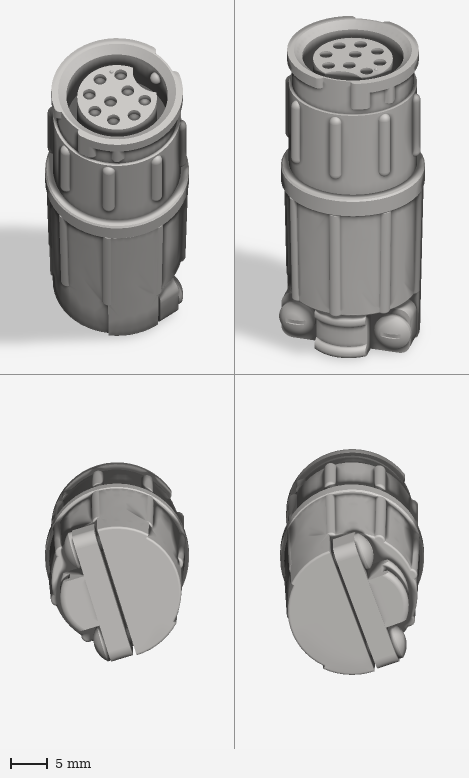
import cadquery as cq
import math

HEIGHT = 44.75
SHELL_BOTTOM = 0.6
STEP_Z = 7.8
RING_BOTTOM = 24.0
RING_TOP = 26.75
COLLAR_BOTTOM = 27.0
COLLAR_TOP = 39.55
LUG_BOTTOM = 40.65
FLANGE_BOTTOM = 43.15

NECK_RADIUS = 8.28
FLANGE_RADIUS = 8.95
COLLAR_RADIUS = 8.7
GROOVE_RADIUS = 7.75
RING_RADIUS = 9.775
RING_CHAMFER = 0.22

MOUTH_RADIUS = 8.0
BORE_RADIUS = 6.9
MOUTH_DEPTH = 0.95
BORE_DEPTH = 6.7
INSERT_RADIUS = 5.4
INSERT_TOP = HEIGHT - 1.35
NOTCH_RADIUS = 3.6
NOTCH_Y = 7.2
CONTACT_RADIUS = 0.87
CONTACT_DEPTH = 0.9
CONTACT_CIRCLE_RADIUS = 3.8
CONTACT_PLACES = 8
INNER_CONTACTS_Y = (1.85, -1.1)
MARK_RADIUS = 0.25
MARK_X = -3.85
MARK_Y = 2.0
PIN_RADIUS = 0.828
PIN_Y = 6.7
PIN_Z = 42.23

GAP_HALF_WIDTH = 1.85
LUG_OUTER_X = 4.47
LUG_ROUND = 0.785
KEY_X = 7.15
KEY_Y = 5.7
KEY_ROUND = 0.6

RIB_COUNT = 8
COLLAR_RIB_RADIUS = 0.85
COLLAR_RIB_TIP = 9.5
COLLAR_RIB_BOTTOM = 29.4
COLLAR_RIB_TOP = 39.2
SHELL_RIB_RADIUS = 0.9
SHELL_RIB_TIP_TOP = 9.7
SHELL_RIB_TIP_BOTTOM = 9.35
SHELL_RIB_ROUND = 0.3

SHELL_RADIUS_TOP = 9.2
SHELL_RADIUS_BOTTOM = 8.7
FLANK_RISE = 0.4
SHELL_EDGE_ROUND = 0.3

CLAMP_HEIGHT = 6.9
CLAMP_Z = CLAMP_HEIGHT / 2
BAR_HALF_LENGTH = 9.1
BAR_NEAR_Y = 0.5
BAR_FAR_Y = 3.6
BAR_ROUND = 1.6
SADDLE_HALF_LENGTH = 3.6
SADDLE_HEIGHT = 6.58
SADDLE_AXIS_Y = 2.1
SADDLE_RADIUS = 4.95
RIM_RADIUS = 5.73
RIM_WIDTH = 1.7
RIM_ROUND = 0.8
SCREW_X = 6.7
SHANK_RADIUS = 1.1
SHANK_DEPTH = 0.5
HEAD_RADIUS = 2.55
HEAD_HEIGHT = 1.7
HEAD_SIDE = 0.55
SLOT_WIDTH = 0.65
SLOT_DEPTH = 0.3
HEAD_SPAN = (-2 * HEAD_RADIUS, 2 * HEAD_RADIUS)


def disc(radius, bottom, top):
    return cq.Workplane("XY").workplane(offset=bottom).circle(radius).extrude(top - bottom)


def box(x_range, y_range, z_range):
    (x0, x1), (y0, y1), (z0, z1) = x_range, y_range, z_range
    return cq.Workplane("XY").box(x1 - x0, y1 - y0, z1 - z0, centered=False).translate((x0, y0, z0))


def ball(radius, center):
    return cq.Workplane("XY").sphere(radius).translate(center)


def half_turn(shape):
    return shape.rotate((0, 0, 0), (0, 0, 1), 180)


def around_axis(shape):
    copies = cq.Workplane("XY")
    for index in range(RIB_COUNT):
        copies = copies.union(shape.rotate((0, 0, 0), (0, 0, 1), index * 360 / RIB_COUNT))
    return copies


def flange_half():
    """Half of the bayonet flange on +X, ending at the gaps with rounded corners."""
    side = (GAP_HALF_WIDTH, FLANGE_RADIUS)
    half = disc(FLANGE_RADIUS, FLANGE_BOTTOM, HEIGHT).intersect(
        box(side, (-FLANGE_RADIUS, FLANGE_RADIUS), (FLANGE_BOTTOM, HEIGHT))
    )
    return half.edges("|Z").fillet(LUG_ROUND)


def end_lug():
    """Lug hanging below the flange beside the gap on -Y."""
    heights = (LUG_BOTTOM, FLANGE_BOTTOM)
    lug = disc(FLANGE_RADIUS, *heights).intersect(
        box((GAP_HALF_WIDTH, LUG_OUTER_X), (-FLANGE_RADIUS, -BORE_RADIUS), heights)
    )
    return lug.edges("|Z").edges("not >Y").fillet(LUG_ROUND)


def corner_key():
    """Square key with a rounded outer corner, below the flange."""
    key = box((KEY_X / 2, KEY_X), (-KEY_Y, -KEY_Y / 2), (LUG_BOTTOM, FLANGE_BOTTOM))
    return key.edges("|Z and >X and <Y").fillet(KEY_ROUND)


def bayonet():
    side = flange_half().union(end_lug()).union(corner_key())
    neck = disc(NECK_RADIUS, COLLAR_TOP, HEIGHT)
    return neck.union(side).union(half_turn(side))


def socket_cut():
    """Conical mouth and bore around the notched contact insert."""
    floor = HEIGHT - BORE_DEPTH
    cut = (
        cq.Workplane("XZ")
        .moveTo(0, HEIGHT)
        .lineTo(MOUTH_RADIUS, HEIGHT)
        .lineTo(BORE_RADIUS, HEIGHT - MOUTH_DEPTH)
        .lineTo(BORE_RADIUS, floor)
        .lineTo(0, floor)
        .close()
        .revolve(360, (0, 0), (0, 1))
    )
    return cut.cut(contact_insert(floor)).cut(ball(PIN_RADIUS, (0, PIN_Y, PIN_Z)))


def contact_insert(floor):
    insert = disc(INSERT_RADIUS, floor, INSERT_TOP)
    insert = insert.cut(disc(NOTCH_RADIUS, floor, INSERT_TOP).translate((0, NOTCH_Y, 0)))
    centers = [(0, y) for y in INNER_CONTACTS_Y]
    for index in range(1, CONTACT_PLACES):
        angle = math.radians(90 + index * 360 / CONTACT_PLACES)
        centers.append((CONTACT_CIRCLE_RADIUS * math.cos(angle), CONTACT_CIRCLE_RADIUS * math.sin(angle)))
    for x, y in centers:
        insert = insert.cut(disc(CONTACT_RADIUS, INSERT_TOP - CONTACT_DEPTH, INSERT_TOP).translate((x, y, 0)))
    return insert.union(ball(MARK_RADIUS, (MARK_X, MARK_Y, INSERT_TOP)))


def collar():
    rib_x = COLLAR_RIB_TIP - COLLAR_RIB_RADIUS
    low = COLLAR_RIB_BOTTOM + COLLAR_RIB_RADIUS
    high = COLLAR_RIB_TOP - COLLAR_RIB_RADIUS
    rib = disc(COLLAR_RIB_RADIUS, low, high).translate((rib_x, 0, 0))
    for z in (low, high):
        rib = rib.union(ball(COLLAR_RIB_RADIUS, (rib_x, 0, z)))
    return disc(COLLAR_RADIUS, COLLAR_BOTTOM, COLLAR_TOP).union(around_axis(rib))


def ring():
    body = disc(RING_RADIUS, RING_BOTTOM, RING_TOP).edges().chamfer(RING_CHAMFER)
    return body.union(disc(GROOVE_RADIUS, RING_TOP, COLLAR_BOTTOM))


def shell_radius(z):
    climb = (z - SHELL_BOTTOM) / (RING_BOTTOM - SHELL_BOTTOM)
    return SHELL_RADIUS_BOTTOM + climb * (SHELL_RADIUS_TOP - SHELL_RADIUS_BOTTOM)


def tapered_body(bottom, rise=0.0):
    """Full round of the shell from the given height up, with its lower edge rounded."""
    return (
        cq.Workplane("XZ")
        .moveTo(0, bottom)
        .lineTo(shell_radius(bottom) + rise, bottom)
        .lineTo(SHELL_RADIUS_TOP + rise, RING_BOTTOM)
        .lineTo(0, RING_BOTTOM)
        .close()
        .revolve(360, (0, 0), (0, 1))
        .faces("<Z")
        .edges()
        .fillet(SHELL_EDGE_ROUND)
    )


def shell_rib():
    bottom = cq.Vector(SHELL_RIB_TIP_BOTTOM - SHELL_RIB_RADIUS, 0, STEP_Z)
    top = cq.Vector(SHELL_RIB_TIP_TOP - SHELL_RIB_RADIUS, 0, RING_BOTTOM)
    axis = top - bottom
    rib = cq.Workplane(cq.Solid.makeCylinder(SHELL_RIB_RADIUS, axis.Length, bottom, axis))
    return rib.faces("<Z").edges().fillet(SHELL_RIB_ROUND)


def shell():
    """Tapered cable shell with grip ribs; its +Y half stops at the step."""
    reach = RING_RADIUS
    sector = (
        cq.Workplane("XY")
        .polyline([(0, 0), (2 * reach, 0), (2 * reach, -2 * reach)])
        .close()
        .extrude(HEIGHT)
    )
    flank = tapered_body(SHELL_BOTTOM, FLANK_RISE).intersect(sector)
    long_half = tapered_body(SHELL_BOTTOM).cut(box((-reach, reach), (0, reach), (0, HEIGHT)))
    short_half = tapered_body(STEP_Z).cut(box((-reach, reach), (-reach, 0), (0, HEIGHT)))
    body = long_half.union(flank).union(flank.mirror("YZ"))
    return body.union(around_axis(shell_rib())).union(short_half)


def screw():
    """Domed, slotted clamp screw along Y."""
    head_tip = BAR_FAR_Y + HEAD_HEIGHT
    dome_rise = HEAD_HEIGHT - HEAD_SIDE
    dome_radius = (HEAD_RADIUS**2 + dome_rise**2) / (2 * dome_rise)
    middle_radius = math.sqrt(dome_radius**2 - (dome_radius - dome_rise / 2) ** 2)
    head = (
        cq.Workplane("XY")
        .moveTo(0, BAR_FAR_Y)
        .lineTo(HEAD_RADIUS, BAR_FAR_Y)
        .lineTo(HEAD_RADIUS, BAR_FAR_Y + HEAD_SIDE)
        .threePointArc((middle_radius, head_tip - dome_rise / 2), (0, head_tip))
        .close()
        .revolve(360, (0, 0), (0, 1))
    )
    half_slot = SLOT_WIDTH / 2
    slot = box(HEAD_SPAN, (head_tip - SLOT_DEPTH, head_tip), (-half_slot, half_slot))
    shank_length = BAR_FAR_Y + SHANK_DEPTH
    shank = cq.Workplane("XZ").circle(SHANK_RADIUS).extrude(-shank_length).translate((0, -SHANK_DEPTH, 0))
    return head.cut(slot).union(shank)


def saddle():
    """Arched middle of the clamp, with a rounded rim along both edges."""
    half_height = SADDLE_HEIGHT / 2
    arch = disc(SADDLE_RADIUS, CLAMP_Z - half_height, CLAMP_Z + half_height)
    for side in (-1, 1):
        rim_z = CLAMP_Z + side * (half_height - RIM_WIDTH / 2)
        rim = disc(RIM_RADIUS, rim_z - RIM_WIDTH / 2, rim_z + RIM_WIDTH / 2)
        arch = arch.union(rim.edges().fillet(RIM_ROUND))
    middle = box(
        (-SADDLE_HALF_LENGTH, SADDLE_HALF_LENGTH),
        (BAR_NEAR_Y, SADDLE_AXIS_Y + RIM_RADIUS),
        (0, CLAMP_HEIGHT),
    )
    return arch.translate((0, SADDLE_AXIS_Y, 0)).intersect(middle)


def clamp():
    bar = box((-BAR_HALF_LENGTH, BAR_HALF_LENGTH), (BAR_NEAR_Y, BAR_FAR_Y), (0, CLAMP_HEIGHT))
    body = bar.edges("|Y").fillet(BAR_ROUND).union(saddle())
    for x in (-SCREW_X, SCREW_X):
        body = body.union(screw().translate((x, 0, CLAMP_Z)))
    return body


result = shell().union(ring()).union(collar()).union(bayonet()).cut(socket_cut()).union(clamp())